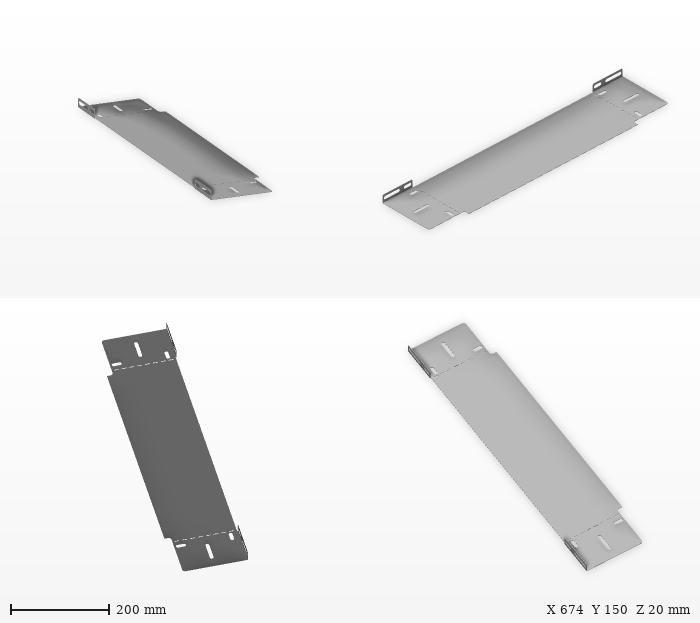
import cadquery as cq

length = 674.0
depth = 150.0
flange_height = 20.0
thickness = 1.0
half_length = length / 2

wing_depth = 137.0
tongue_half_width = 237.0
shoulder_fillet = 6.0
wing_corner_radius = 6.0
flange_inner_end = 253.5
front_setback = 2.0

flange_length = half_length - flange_inner_end
flange_corner_radius = 3.5

slot_width = 8.0
short_slot_length = 21.0
wing_long_slot_length = 43.0
flange_long_slot_length = 45.0

wing_short_slot_x = 265.0
wing_long_slot_x = 294.5
front_slot_y = 17.0
wing_mid_y = 70.0
rear_slot_y = 123.0

flange_short_slot_x = 267.0
flange_long_slot_x = 311.5
flange_slot_z = 11.0

slit_count = 8
slit_length = 10.0
slit_width = 2.0
slit_row_length = 125.5
slit_pitch = (slit_row_length - slit_length) / (slit_count - 1)
slit_row_x = 250.0


def make_plate():
    """Flat sheet: middle panel with a rear tongue, and a wing at each end."""
    right_half = [
        (0, front_setback),
        (flange_inner_end, front_setback),
        (flange_inner_end, 0),
        (half_length, 0),
        (half_length, wing_depth),
        (tongue_half_width, wing_depth),
        (tongue_half_width, depth),
        (0, depth),
    ]
    half = cq.Workplane("XY").polyline(right_half).close().extrude(thickness)
    plate = half.union(half.mirror("YZ"), clean=True)
    for side in (-1, 1):
        plate = round_upright_edge(plate, side * tongue_half_width, wing_depth, shoulder_fillet)
        plate = round_upright_edge(plate, side * half_length, wing_depth, wing_corner_radius)
    return plate


def round_upright_edge(body, x, y, radius):
    """Fillet the vertical edge of the sheet that stands at (x, y)."""
    edge = cq.selectors.NearestToPointSelector((x, y, thickness / 2))
    return body.edges("|Z").edges(edge).fillet(radius)


def make_flange(side):
    """Upright strip along the front of one wing, with rounded top corners."""
    return (
        cq.Workplane("XY")
        .box(flange_length, thickness, flange_height, centered=(True, False, False))
        .edges("|Y and >Z")
        .fillet(flange_corner_radius)
        .translate((side * (half_length - flange_length / 2), 0, 0))
    )


def wing_slot_cutter(x, y, slot_length, angle=0):
    """Slot through the flat sheet; an angle of 90 runs it along Y."""
    return (
        cq.Workplane("XY")
        .center(x, y)
        .slot2D(slot_length, slot_width, angle)
        .extrude(thickness)
    )


def flange_slot_cutter(x, slot_length):
    """Slot along X through an upright flange."""
    return (
        cq.Workplane("XZ")
        .center(x, flange_slot_z)
        .slot2D(slot_length, slot_width)
        .extrude(-thickness)
    )


def slit_row_cutter(x):
    """Evenly spaced slits that run along Y."""
    return (
        cq.Workplane("XY")
        .center(x, wing_mid_y)
        .rarray(7, slit_pitch, 1, slit_count)
        .rect(slit_width, slit_length)
        .extrude(thickness)
    )


result = make_plate()
for side in (-1, 1):
    result = (
        result.union(make_flange(side))
        .cut(wing_slot_cutter(side * wing_short_slot_x, front_slot_y, short_slot_length))
        .cut(wing_slot_cutter(side * wing_short_slot_x, rear_slot_y, short_slot_length, 90))
        .cut(wing_slot_cutter(side * wing_long_slot_x, wing_mid_y, wing_long_slot_length))
        .cut(flange_slot_cutter(side * flange_short_slot_x, short_slot_length))
        .cut(flange_slot_cutter(side * flange_long_slot_x, flange_long_slot_length))
        .cut(slit_row_cutter(side * slit_row_x))
    )